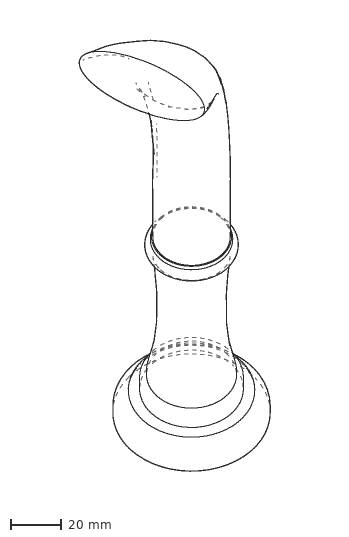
import cadquery as cq
import math

base_radius = 31.5
base_rim_height = 3.7
base_round = 5.0
base_slope_top = 11.0
base_cove = 3.5
base_top_radius = 23.2
base_height = 14.2
base_shoulder_sag = 0.3

drum_radius = 20.7
drum_height = 22.7
drum_round = 1.5

plinth_radius = 18.0
plinth_height = 25.5
waist_foot = (17.7, 27.0)
waist_low = (14.2, 50.0)
waist_neck = (14.0, 71.2)

stem_radius = 15.5
ring_bottom = 94.9
ring_radius = 18.7
ring_edge_radius = 17.7
bead_bottom = 98.5
bead_top = 102.4
lip_radius = 16.5
lip_top_radius = 16.0
lip_bottom = 103.9
ring_top = 105.4
ring_cove_sag = 0.37

low_slant_height = 132.8
low_slant_drop = 3.0
high_slant_height = 150.3
high_slant_drop = 5.0

stem_foot = ((-stem_radius, ring_top), (stem_radius, ring_top), stem_radius)
bend_stations = [
    (
        (-stem_radius, low_slant_height + low_slant_drop),
        (stem_radius, low_slant_height - low_slant_drop),
        stem_radius,
    ),
    (
        (-stem_radius, high_slant_height + high_slant_drop),
        (stem_radius, high_slant_height - high_slant_drop),
        stem_radius,
    ),
    ((-14.0, 173.8), (stem_radius, 160.3), stem_radius),
    ((-5.0, 207.7), (18.0, 188.0), 17.0),
    ((6.0, 225.2), (22.2, 204.0), 19.7),
    ((20.7, 238.5), (31.7, 216.7), 24.2),
    ((40.0, 249.7), (45.5, 225.7), 28.2),
]


def make_column():
    """Turned base, waist and ring, up to the flat top of the ring."""
    diagonal = math.sqrt(0.5)
    mid_angle = math.radians(45) / 2
    round_side = base_round * diagonal
    round_depth = base_round - round_side
    slope_bottom = (base_radius - round_depth, base_rim_height + round_side)
    round_mid = (
        base_radius - base_round * (1 - math.cos(mid_angle)),
        base_rim_height + base_round * math.sin(mid_angle),
    )
    slope_end = (slope_bottom[0] - (base_slope_top - slope_bottom[1]), base_slope_top)
    cove_side = base_cove * diagonal
    cove_end = (slope_end[0] - (base_cove - cove_side), base_slope_top + cove_side)
    cove_mid = (
        cove_end[0] + base_cove * (1 - math.cos(mid_angle)),
        cove_end[1] - base_cove * math.sin(mid_angle),
    )
    shoulder_mid = (
        (cove_end[0] + base_top_radius) / 2,
        (cove_end[1] + base_height) / 2 + base_shoulder_sag,
    )
    drum_round_mid = (
        drum_radius - drum_round * (1 - diagonal),
        drum_height - drum_round * (1 - diagonal),
    )
    ring_cove_mid = (
        (stem_radius + ring_edge_radius) / 2 - ring_cove_sag,
        (ring_bottom + bead_bottom) / 2 + ring_cove_sag,
    )
    profile = (
        cq.Workplane("XZ")
        .moveTo(0, 0)
        .lineTo(base_radius, 0)
        .lineTo(base_radius, base_rim_height)
        .threePointArc(round_mid, slope_bottom)
        .lineTo(*slope_end)
        .threePointArc(cove_mid, cove_end)
        .threePointArc(shoulder_mid, (base_top_radius, base_height))
        .lineTo(drum_radius, base_height)
        .lineTo(drum_radius, drum_height - drum_round)
        .threePointArc(drum_round_mid, (drum_radius - drum_round, drum_height))
        .lineTo(plinth_radius, drum_height)
        .lineTo(plinth_radius, plinth_height)
        .lineTo(*waist_foot)
        .spline([waist_low, waist_neck, (stem_radius, ring_bottom)], includeCurrent=True)
        .threePointArc(ring_cove_mid, (ring_edge_radius, bead_bottom))
        .threePointArc(
            (ring_radius, (bead_bottom + bead_top) / 2), (ring_edge_radius, bead_top)
        )
        .lineTo(lip_radius, lip_bottom)
        .lineTo(lip_top_radius, ring_top)
        .lineTo(0, ring_top)
        .close()
    )
    return profile.revolve(360, (0, 0, 0), (0, 1, 0))


def station_wire(outer, inner, half_width):
    """Ellipse across the spout, symmetric about the YZ plane."""
    reach = inner[0] - outer[0]
    drop = outer[1] - inner[1]
    half_depth = math.hypot(reach, drop) / 2
    centre = cq.Vector(0, -(outer[0] + inner[0]) / 2, (outer[1] + inner[1]) / 2)
    depth_direction = cq.Vector(0, reach, drop)
    normal = cq.Vector(1, 0, 0).cross(depth_direction)
    quarters = [
        cq.Edge.makeEllipse(
            half_width, half_depth, centre, normal, cq.Vector(1, 0, 0), start, start + 90
        )
        for start in (0, 90, 180, 270)
    ]
    return cq.Wire.assembleEdges(quarters)


def make_spout():
    """Straight stem from the ring to the first slanted station, then a smooth bend."""
    bend_wires = [station_wire(*station) for station in bend_stations]
    stem = cq.Solid.makeLoft([station_wire(*stem_foot), bend_wires[0]], True)
    bend = cq.Solid.makeLoft(bend_wires)
    return cq.Workplane(stem).union(cq.Workplane(bend))


result = make_column().union(make_spout())